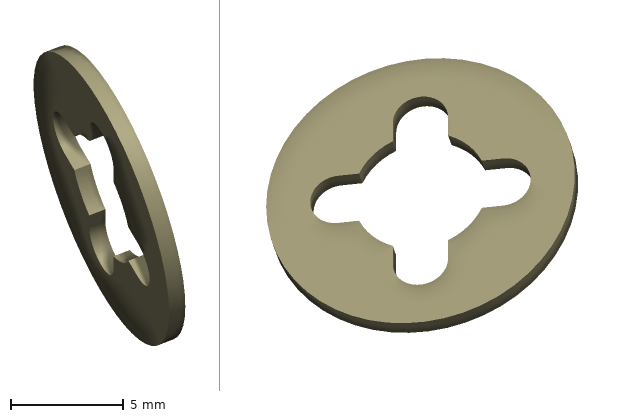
import cadquery as cq

disc_diameter = 14.0
thickness = 0.8
bore_diameter = 6.1
slot_span = 10.0
slot_width = 2.5

result = cq.Workplane("XZ").circle(disc_diameter / 2).extrude(thickness)

result = result.faces("<Y").workplane().circle(bore_diameter / 2).cutThruAll()

for slot_angle in (0, 90):
    slot_outline = result.faces("<Y").workplane(origin=(0, 0, 0)).slot2D(slot_span, slot_width, slot_angle)
    result = slot_outline.cutThruAll()